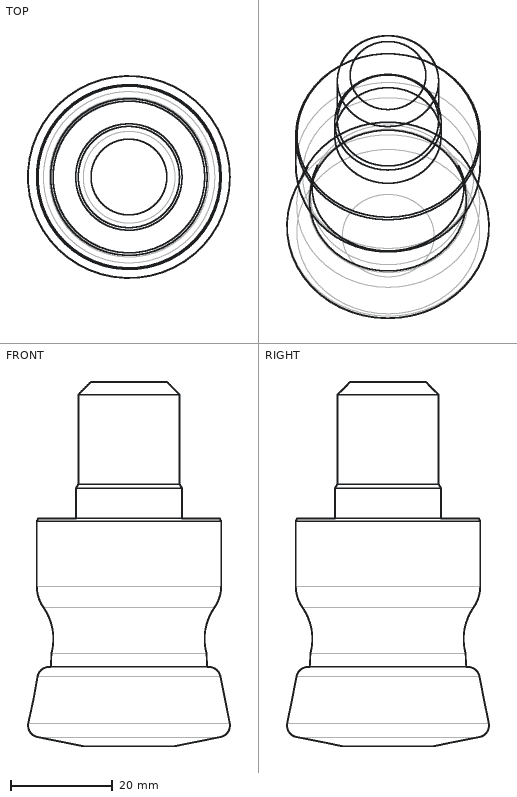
import cadquery as cq
import math

total_height = 72.0
cap_height = 15.7

stud_radius = 20.0 / 2
stud_chamfer = 2.5
collar_radius = 21.0 / 2
collar_top = 51.8
collar_chamfer_height = 0.8

sleeve_radius = 36.5 / 2
sleeve_top = 45.0
sleeve_bottom = 31.6
sleeve_chamfer_width = 0.3
sleeve_chamfer_height = 0.6
shoulder_arc_radius = 7.3
waist_arc_radius = 10.9
waist_slope = math.radians(35)
flare_top = 18.35
neck_base_radius = 15.5

cap_radius = 39.95 / 2
cap_edge_radius = 2.4
cap_taper = math.radians(11.3)
cap_flat_radius = 9.1


def arc_point(center, radius, angle):
    """Point on an arc in the (radius, Z) half plane, angle measured from outward."""
    return (center[0] + radius * math.cos(angle), center[1] + radius * math.sin(angle))


def revolve_profile(profile):
    """Turn a closed half profile, drawn in (X, Z), around the Z axis."""
    return profile.close().revolve(360, (0, 0, 0), (0, 1, 0))


def make_body():
    """Stud, collar, sleeve and waisted neck as one turned solid."""
    shoulder_center = (sleeve_radius - shoulder_arc_radius, sleeve_bottom)
    shoulder_middle = arc_point(shoulder_center, shoulder_arc_radius, -waist_slope / 2)
    shoulder_end = arc_point(shoulder_center, shoulder_arc_radius, -waist_slope)
    waist_center = arc_point(
        shoulder_center, shoulder_arc_radius + waist_arc_radius, -waist_slope
    )
    waist_end_angle = math.pi + math.asin((waist_center[1] - flare_top) / waist_arc_radius)
    waist_middle = arc_point(waist_center, waist_arc_radius, math.pi)
    waist_end = arc_point(waist_center, waist_arc_radius, waist_end_angle)

    profile = (
        cq.Workplane("XZ")
        .moveTo(0, total_height)
        .lineTo(stud_radius - stud_chamfer, total_height)
        .lineTo(stud_radius, total_height - stud_chamfer)
        .lineTo(stud_radius, collar_top)
        .lineTo(collar_radius, collar_top - collar_chamfer_height)
        .lineTo(collar_radius, sleeve_top)
        .lineTo(sleeve_radius - sleeve_chamfer_width, sleeve_top)
        .lineTo(sleeve_radius, sleeve_top - sleeve_chamfer_height)
        .lineTo(sleeve_radius, sleeve_bottom)
        .threePointArc(shoulder_middle, shoulder_end)
        .threePointArc(waist_middle, waist_end)
        .lineTo(neck_base_radius, cap_height)
        .lineTo(0, cap_height)
    )
    return revolve_profile(profile)


def make_cap():
    """Tapered cap with rounded rims and a shallow conical underside."""
    lower_center_radius = cap_radius - cap_edge_radius
    lower_center_height = (
        cap_edge_radius / math.cos(cap_taper)
        + (lower_center_radius - cap_flat_radius) * math.tan(cap_taper)
    )
    lower_center = (lower_center_radius, lower_center_height)
    underside_angle = cap_taper - math.pi / 2
    lower_start = arc_point(lower_center, cap_edge_radius, underside_angle)
    lower_middle = arc_point(lower_center, cap_edge_radius, (underside_angle + cap_taper) / 2)
    lower_end = arc_point(lower_center, cap_edge_radius, cap_taper)

    upper_center_height = cap_height - cap_edge_radius
    upper_center = (
        lower_center_radius - (upper_center_height - lower_center_height) * math.tan(cap_taper),
        upper_center_height,
    )
    upper_start = arc_point(upper_center, cap_edge_radius, cap_taper)
    upper_middle = arc_point(upper_center, cap_edge_radius, (cap_taper + math.pi / 2) / 2)
    upper_end = arc_point(upper_center, cap_edge_radius, math.pi / 2)

    profile = (
        cq.Workplane("XZ")
        .lineTo(cap_flat_radius, 0)
        .lineTo(*lower_start)
        .threePointArc(lower_middle, lower_end)
        .lineTo(*upper_start)
        .threePointArc(upper_middle, upper_end)
        .lineTo(0, cap_height)
    )
    return revolve_profile(profile)


body = make_body()
cap = make_cap()

result = cq.Compound.makeCompound([body.val(), cap.val()])